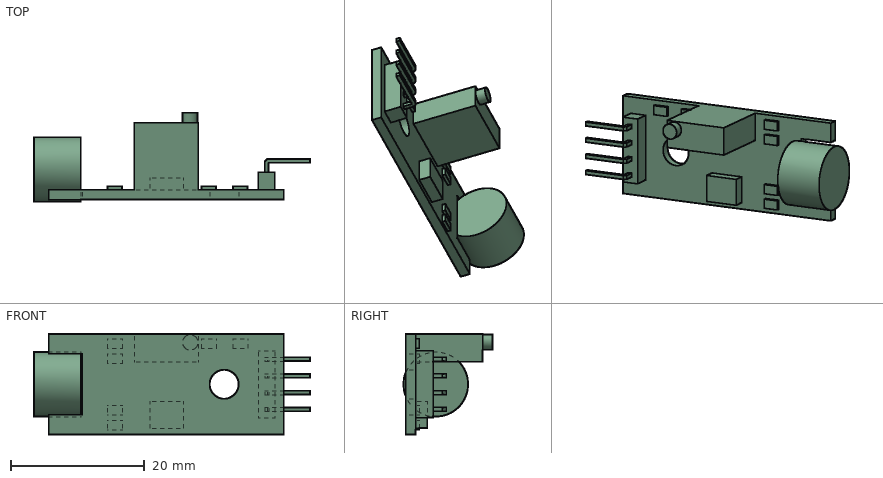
import cadquery as cq

BOARD_LENGTH = 35.2
BOARD_HEIGHT = 15.1
BOARD_THICKNESS = 1.5
MID_HEIGHT = BOARD_HEIGHT / 2

NOTCH_DEPTH = 5.0
PRONG_HEIGHT = 3.0
NOTCH_HEIGHT = BOARD_HEIGHT - 2 * PRONG_HEIGHT

HOLE_DIAMETER = 4.3
HOLE_X = 26.25

MIC_DIAMETER = 9.7
MIC_LENGTH = 7.0
MIC_OVERHANG = 2.2
MIC_CENTER_Y = 4.5

TRIMMER_X = 12.8
TRIMMER_LENGTH = 9.6
TRIMMER_HEIGHT = 4.2
TRIMMER_STANDOUT = 10.0
SCREW_DIAMETER = 2.3
SCREW_STANDOUT = 1.5
SCREW_INSET = 1.25

CHIP_LENGTH = 2.2
CHIP_HEIGHT = 1.4
CHIP_STANDOUT = 0.5
CHIP_COLUMN_X = 8.8
LED_XS = (22.85, 27.55)
OUTER_ROW = 0.75
INNER_ROW = PRONG_HEIGHT

AMPLIFIER_LENGTH = 5.0
AMPLIFIER_HEIGHT = 4.0
AMPLIFIER_STANDOUT = 1.75
AMPLIFIER_Z = 1.0

PIN_COUNT = 4
PIN_PITCH = 2.5
PIN_SIDE = 0.6
PIN_REACH = 3.9
PIN_TOP_STANDOUT = 4.6
PIN_BEND_CHAMFER = 0.4
HEADER_X = 31.35
HEADER_WIDTH = 2.5
HEADER_STANDOUT = 2.6
HEADER_HEIGHT = PIN_COUNT * PIN_PITCH


def block_on_board(x, z, length, height, standout):
    """Block on the board's +Y face with its lower left corner at (x, z)."""
    return cq.Workplane("XY").box(length, standout, height, centered=False).translate((x, BOARD_THICKNESS, z))


def make_board_plate():
    plate = cq.Workplane("XY").box(BOARD_LENGTH, BOARD_THICKNESS, BOARD_HEIGHT, centered=False)
    notch = (
        cq.Workplane("XY")
        .box(NOTCH_DEPTH, BOARD_THICKNESS, NOTCH_HEIGHT, centered=False)
        .translate((0, 0, PRONG_HEIGHT))
    )
    hole = (
        cq.Workplane("XZ")
        .center(HOLE_X, MID_HEIGHT)
        .circle(HOLE_DIAMETER / 2)
        .extrude(-BOARD_THICKNESS)
    )
    return plate.cut(notch).cut(hole)


def make_trimmer():
    body = block_on_board(
        TRIMMER_X, BOARD_HEIGHT - TRIMMER_HEIGHT, TRIMMER_LENGTH, TRIMMER_HEIGHT, TRIMMER_STANDOUT
    )
    screw = (
        cq.Workplane("XZ", origin=(0, BOARD_THICKNESS + TRIMMER_STANDOUT, 0))
        .center(TRIMMER_X + TRIMMER_LENGTH - SCREW_INSET, BOARD_HEIGHT - SCREW_INSET)
        .circle(SCREW_DIAMETER / 2)
        .extrude(-SCREW_STANDOUT)
    )
    return body.union(screw)


def make_chip(x, z):
    return block_on_board(x, z, CHIP_LENGTH, CHIP_HEIGHT, CHIP_STANDOUT)


def make_pin(z):
    """Pin centred at height z: a leg rising from the header, bent towards +X."""
    left = HEADER_X + (HEADER_WIDTH - PIN_SIDE) / 2
    right = BOARD_LENGTH + PIN_REACH
    foot = BOARD_THICKNESS + HEADER_STANDOUT
    top = BOARD_THICKNESS + PIN_TOP_STANDOUT
    outline = [
        (left, foot),
        (left + PIN_SIDE, foot),
        (left + PIN_SIDE, top - PIN_SIDE),
        (right, top - PIN_SIDE),
        (right, top),
        (left + PIN_BEND_CHAMFER, top),
        (left, top - PIN_BEND_CHAMFER),
    ]
    return cq.Workplane("XY", origin=(0, 0, z - PIN_SIDE / 2)).polyline(outline).close().extrude(PIN_SIDE)


def make_header():
    bottom = MID_HEIGHT - HEADER_HEIGHT / 2
    header = block_on_board(HEADER_X, bottom, HEADER_WIDTH, HEADER_HEIGHT, HEADER_STANDOUT)
    for index in range(PIN_COUNT):
        header = header.union(make_pin(bottom + (index + 0.5) * PIN_PITCH))
    return header


def make_board():
    """Board with all of its soldered components, one solid."""
    amplifier = block_on_board(
        TRIMMER_X + (TRIMMER_LENGTH - AMPLIFIER_LENGTH) / 2,
        AMPLIFIER_Z,
        AMPLIFIER_LENGTH,
        AMPLIFIER_HEIGHT,
        AMPLIFIER_STANDOUT,
    )
    board = make_board_plate().union(make_trimmer()).union(amplifier).union(make_header())
    for row in (OUTER_ROW, INNER_ROW):
        board = board.union(make_chip(CHIP_COLUMN_X, row))
        board = board.union(make_chip(CHIP_COLUMN_X, BOARD_HEIGHT - row - CHIP_HEIGHT))
    for x in LED_XS:
        board = board.union(make_chip(x, BOARD_HEIGHT - OUTER_ROW - CHIP_HEIGHT))
    return board


def make_microphone():
    return (
        cq.Workplane("YZ", origin=(-MIC_OVERHANG, 0, 0))
        .center(MIC_CENTER_Y, MID_HEIGHT)
        .circle(MIC_DIAMETER / 2)
        .extrude(MIC_LENGTH)
    )


board = make_board()
microphone = make_microphone()

result = cq.Compound.makeCompound([board.val(), microphone.val()])